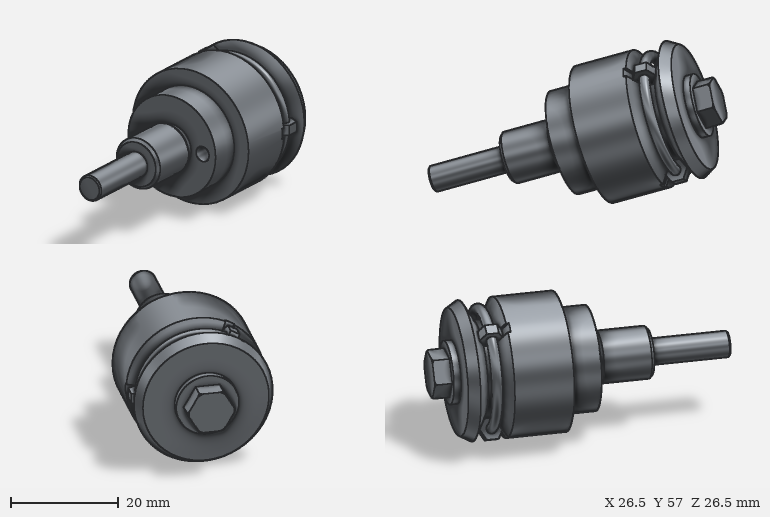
import cadquery as cq
import math


overall_length = 57.0
outer_diameter = 26.5
outer_radius = outer_diameter / 2
taper_slope = math.tan(math.radians(30))

jaw_count = 3
jaw_across_flats = 4.0
jaw_width = 2.0
jaw_corner_radius = jaw_across_flats / math.sqrt(3)
ring_radius = outer_radius - jaw_across_flats / 2
ring_wire_diameter = 2.0

hub_radius = ring_radius - jaw_across_flats / 2
taper_height = (outer_radius - hub_radius) * taper_slope

disc_rim_y = 3.6
disc_bevel_height = 2.1
disc_back_radius = outer_radius - disc_bevel_height * taper_slope
disc_back_y = disc_rim_y + disc_bevel_height
disc_front_y = disc_rim_y - taper_height

housing_edge_y = -2.9
barrel_length = 11.35
boss_radius = 10.0
boss_length = 6.0
neck_radius = 4.4
neck_length = 1.0
collar_diameter = 10.0
collar_radius = collar_diameter / 2
collar_length = 10.3
collar_chamfer = collar_radius - neck_radius
shoulder_y = housing_edge_y - barrel_length
boss_end_y = shoulder_y - boss_length
neck_end_y = boss_end_y - neck_length
collar_end_y = neck_end_y - collar_length

slot_overrun = 0.55

pilot_radius = 1.5
pilot_offset = 7.0
pilot_depth = 6.0
drill_point_angle = 118.0
pilot_point_height = pilot_radius / math.tan(math.radians(drill_point_angle / 2))

shank_radius = 2.5
tip_chamfer = 0.3
flange_radius = 6.0
flange_thickness = 1.35
head_across_flats = 8.0
head_height = 3.3
head_chamfer = 0.3
head_corner_radius = head_across_flats / math.sqrt(3)
flange_back_y = disc_back_y + flange_thickness
head_end_y = flange_back_y + head_height
tip_y = head_end_y - overall_length


def turned(points):
    """Solid of revolution about Y from a closed outline of (radius, y) points."""
    return cq.Workplane("XY").polyline(points).close().revolve(360, (0, 0, 0), (0, 1, 0))


def around_axis(shape):
    """Copies of a shape lying along +X, spaced evenly about the Y axis."""
    for index in range(jaw_count):
        yield shape.rotate((0, 0, 0), (0, 1, 0), index * 360 / jaw_count)


def make_screw():
    shank = turned([
        (0, tip_y),
        (shank_radius - tip_chamfer, tip_y),
        (shank_radius, tip_y + tip_chamfer),
        (shank_radius, disc_back_y),
        (flange_radius, disc_back_y),
        (flange_radius, flange_back_y),
        (0, flange_back_y),
    ])
    hexagon = (
        cq.Workplane("XZ", origin=(0, flange_back_y, 0))
        .polygon(6, 2 * head_corner_radius)
        .extrude(-head_height)
    )
    corner_trim = turned([
        (0, flange_back_y),
        (head_corner_radius, flange_back_y),
        (head_corner_radius, head_end_y - head_chamfer),
        (head_corner_radius - head_chamfer, head_end_y),
        (0, head_end_y),
    ])
    return shank.union(hexagon.intersect(corner_trim))


def make_cone_disc():
    return turned([
        (shank_radius, disc_front_y),
        (hub_radius, disc_front_y),
        (outer_radius, disc_rim_y),
        (disc_back_radius, disc_back_y),
        (shank_radius, disc_back_y),
    ])


def make_pilot_hole():
    full_depth_y = boss_end_y + pilot_depth
    hole = turned([
        (0, boss_end_y),
        (pilot_radius, boss_end_y),
        (pilot_radius, full_depth_y),
        (0, full_depth_y + pilot_point_height),
    ])
    return hole.translate((pilot_offset, 0, 0))


def make_jaw_slot():
    """Guide slot whose sloped floor continues the lower inner face of a jaw."""
    reach = outer_radius + slot_overrun
    floor_inner_y = -jaw_corner_radius / 2
    floor_outer_y = -jaw_corner_radius - (reach - ring_radius) * taper_slope
    return (
        cq.Workplane("XY")
        .polyline([
            (hub_radius, 0),
            (hub_radius, floor_inner_y),
            (reach, floor_outer_y),
            (reach, 0),
        ])
        .close()
        .extrude(jaw_width / 2, both=True)
    )


def make_housing():
    housing = turned([
        (shank_radius, disc_front_y),
        (hub_radius, disc_front_y),
        (hub_radius, housing_edge_y + taper_height),
        (outer_radius, housing_edge_y),
        (outer_radius, shoulder_y),
        (boss_radius, shoulder_y),
        (boss_radius, boss_end_y),
        (neck_radius, boss_end_y),
        (neck_radius, neck_end_y),
        (collar_radius, neck_end_y - collar_chamfer),
        (collar_radius, collar_end_y + collar_chamfer),
        (collar_radius - collar_chamfer, collar_end_y),
        (shank_radius, collar_end_y),
    ])
    for slot in around_axis(make_jaw_slot()):
        housing = housing.cut(slot)
    return housing.cut(make_pilot_hole())


def make_jaw_ring():
    """Round wire ring carrying three hexagonal jaws centred on the wire."""
    ring = (
        cq.Workplane("XY")
        .center(ring_radius, 0)
        .circle(ring_wire_diameter / 2)
        .revolve(360, (-ring_radius, 0, 0), (-ring_radius, 1, 0))
    )
    jaw = (
        cq.Workplane("XY")
        .polygon(6, 2 * jaw_corner_radius)
        .extrude(jaw_width / 2, both=True)
        .rotate((0, 0, 0), (0, 0, 1), 30)
        .translate((ring_radius, 0, 0))
    )
    for placed_jaw in around_axis(jaw):
        ring = ring.union(placed_jaw)
    return ring


screw = make_screw()
cone_disc = make_cone_disc()
housing = make_housing()
jaw_ring = make_jaw_ring()

result = cq.Compound.makeCompound([
    screw.solids().val(),
    cone_disc.solids().val(),
    housing.solids().val(),
    jaw_ring.solids().val(),
])